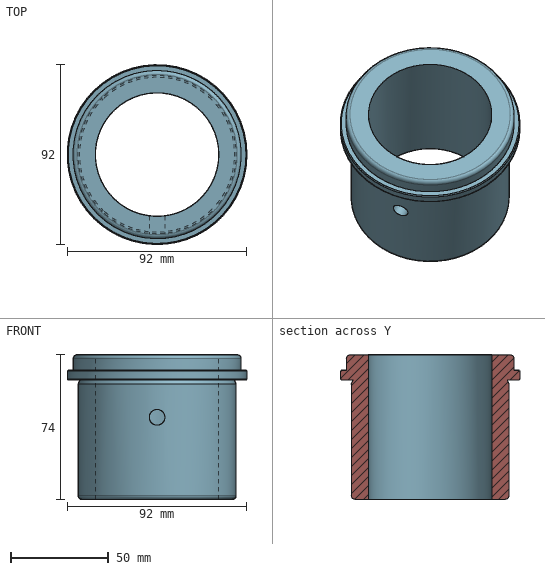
import cadquery as cq

height = 74.0
flange_diameter = 92.0
lip_diameter = 86.0
body_diameter = 80.9
bore_diameter = 63.0

lip_height = 7.9
flange_thickness = 5.15
flange_edge = 0.55
corner_radius = 2.0
relief_height = 1.8
relief_depth = 0.8

hole_diameter = 8.0
hole_drop = 32.0

flange_top = height - lip_height
flange_bottom = flange_top - flange_thickness
flange_radius = flange_diameter / 2
lip_radius = lip_diameter / 2
body_radius = body_diameter / 2
bore_radius = bore_diameter / 2


def make_body():
    """Body, with the undercut narrowing towards the flange."""
    profile = (
        cq.Workplane("XZ")
        .lineTo(body_radius, 0)
        .lineTo(body_radius, flange_bottom - relief_height)
        .lineTo(body_radius - relief_depth, flange_bottom)
        .lineTo(0, flange_bottom)
        .close()
    )
    return profile.revolve(360, (0, 0, 0), (0, 1, 0)).faces("<Z").edges().fillet(corner_radius)


def make_flange():
    """Flange disc with both rims chamfered."""
    disc = cq.Workplane("XY").workplane(offset=flange_bottom).circle(flange_radius).extrude(flange_thickness)
    return disc.faces("<Z or >Z").edges().chamfer(flange_edge)


def make_lip():
    """Ring above the flange with a rounded top edge."""
    disc = cq.Workplane("XY").workplane(offset=flange_top).circle(lip_radius).extrude(lip_height)
    return disc.faces(">Z").edges().fillet(corner_radius)


def make_radial_hole():
    """Cutter for the single hole through the -Y wall into the bore."""
    return (
        cq.Workplane("XZ")
        .center(0, height - hole_drop)
        .circle(hole_diameter / 2)
        .extrude(body_radius)
    )


bore = cq.Workplane("XY").circle(bore_radius).extrude(height)

result = make_body().union(make_flange()).union(make_lip()).cut(bore).cut(make_radial_hole())